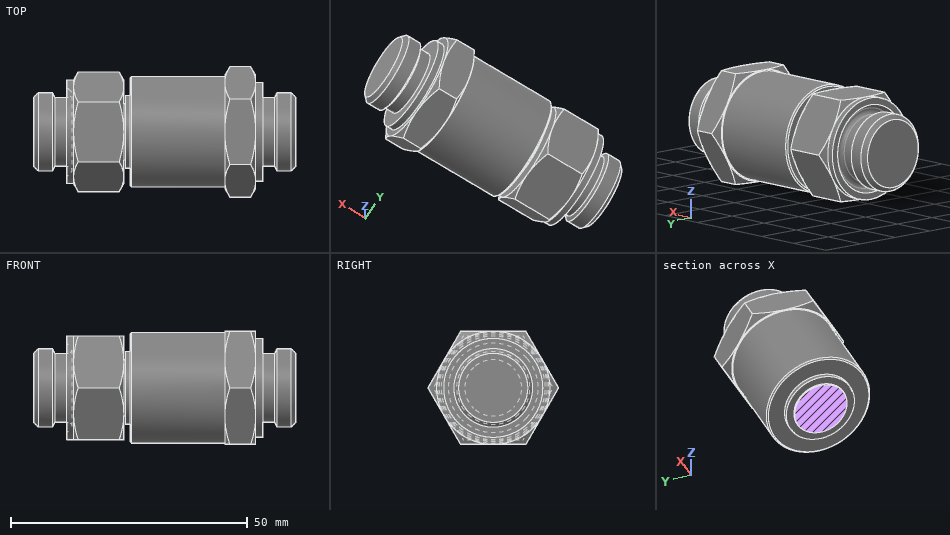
import cadquery as cq
import math

TOTAL_LENGTH = 55.5
STUD_LENGTH = 7.0
NUT_COLLAR_END = 8.45
NUT_END = 19.1
STEM_END = 19.4
BUSH_END = 20.4
HOUSING_HEX_START = 40.45
HOUSING_HEX_END = 47.0

THREAD_DIAMETER = 16.65
NECK_DIAMETER = 14.6
TIP_CHAMFER = 1.0
THREAD_END = 4.5
THREAD_BACK_CHAMFER = 0.5

NUT_FLATS = 22.0
STEM_DIAMETER = 12.0

RECESS_MOUTH_DIAMETER = 19.0
RECESS_ROOT_RADIUS = 0.8

HOUSING_FLATS = 24.0
BUSH_DIAMETER = 15.5
BARREL_DIAMETER = 23.5
BARREL_CHAMFER = 0.35
HOUSING_COLLAR_DIAMETER = 21.0

HEX_CHAMFER_ANGLE = 30.0


def cylinder_x(start, end, diameter):
    """Round bar along X between two stations."""
    return cq.Workplane("YZ", origin=(start, 0, 0)).circle(diameter / 2).extrude(end - start)


def revolve_x(profile):
    """Turn a closed profile, drawn as X and radius, around the X axis."""
    return profile.close().revolve(360, (0, 0, 0), (1, 0, 0))


def chamfered_hexagon(start, end, flats):
    """Hexagon along X with corners on Y and the corners turned to a cone at both ends."""
    length = end - start
    corner_diameter = flats / math.cos(math.radians(30))
    corner_radius = corner_diameter / 2
    chamfer = (corner_diameter - flats) / 2 * math.tan(math.radians(HEX_CHAMFER_ANGLE))
    hexagon = cq.Workplane("YZ", origin=(start, 0, 0)).polygon(6, corner_diameter).extrude(length)
    envelope = revolve_x(
        cq.Workplane("XY")
        .moveTo(start, 0)
        .lineTo(start, flats / 2)
        .lineTo(start + chamfer, corner_radius)
        .lineTo(end - chamfer, corner_radius)
        .lineTo(end, flats / 2)
        .lineTo(end, 0)
    )
    return hexagon.intersect(envelope)


def threaded_stud():
    """Chamfered thread and relief neck, with the tip at X = 0."""
    return revolve_x(
        cq.Workplane("XY")
        .lineTo(0, THREAD_DIAMETER / 2 - TIP_CHAMFER)
        .lineTo(TIP_CHAMFER, THREAD_DIAMETER / 2)
        .lineTo(THREAD_END - THREAD_BACK_CHAMFER, THREAD_DIAMETER / 2)
        .lineTo(THREAD_END, NECK_DIAMETER / 2)
        .lineTo(STUD_LENGTH, NECK_DIAMETER / 2)
        .lineTo(STUD_LENGTH, 0)
    )


def sealing_recess():
    """Ring recess: a conical outer wall, tangent to a round root that runs into the neck."""
    neck_radius = NECK_DIAMETER / 2
    mouth_radius = RECESS_MOUTH_DIAMETER / 2
    diagonal = RECESS_ROOT_RADIUS * math.sin(math.radians(45))
    root_center_radius = neck_radius + RECESS_ROOT_RADIUS
    wall_end_radius = root_center_radius + diagonal
    wall_end = STUD_LENGTH + mouth_radius - wall_end_radius
    root_center = wall_end - diagonal
    return revolve_x(
        cq.Workplane("XY")
        .moveTo(STUD_LENGTH, neck_radius)
        .lineTo(root_center, neck_radius)
        .threePointArc(
            (root_center + diagonal, root_center_radius - diagonal),
            (wall_end, wall_end_radius),
        )
        .lineTo(STUD_LENGTH, mouth_radius)
    )


def make_swivel_nut():
    """Left body: stud, collar, hexagon and short stem."""
    return (
        cylinder_x(STUD_LENGTH, NUT_COLLAR_END, NUT_FLATS)
        .union(chamfered_hexagon(NUT_COLLAR_END, NUT_END, NUT_FLATS))
        .union(cylinder_x(NUT_END, STEM_END, STEM_DIAMETER))
        .union(threaded_stud())
        .cut(sealing_recess())
    )


def make_housing():
    """Right body: bush, barrel, hexagon, collar and the mirrored stud."""
    barrel = cylinder_x(BUSH_END, HOUSING_HEX_START, BARREL_DIAMETER).faces("<X").chamfer(BARREL_CHAMFER)
    right_stud = threaded_stud().mirror("YZ").translate((TOTAL_LENGTH, 0, 0))
    collar_end = TOTAL_LENGTH - STUD_LENGTH
    return (
        cylinder_x(STEM_END, BUSH_END, BUSH_DIAMETER)
        .union(barrel)
        .union(chamfered_hexagon(HOUSING_HEX_START, HOUSING_HEX_END, HOUSING_FLATS))
        .union(cylinder_x(HOUSING_HEX_END, collar_end, HOUSING_COLLAR_DIAMETER))
        .union(right_stud)
    )


swivel_nut = make_swivel_nut()
housing = make_housing()
result = cq.Compound.makeCompound([swivel_nut.solids().val(), housing.solids().val()])